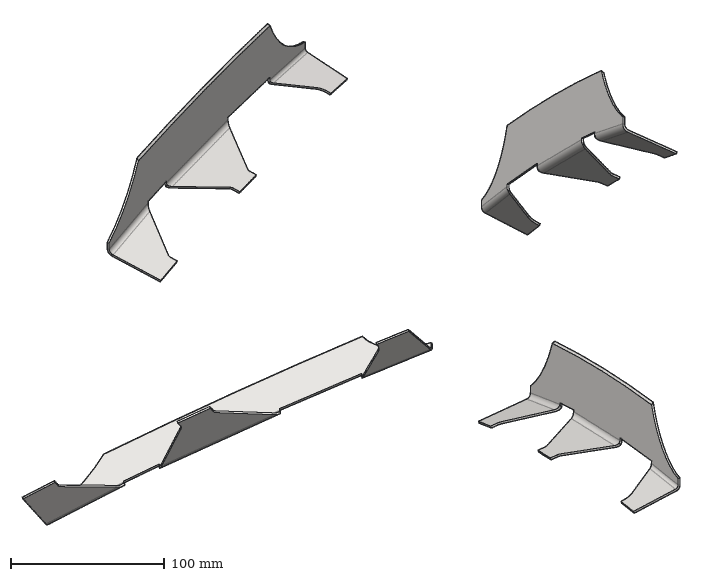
import math

import cadquery as cq

thickness = 1.5

strip_length = 285.91
top_z = 72.72

low_end_top_z = 21.2
high_end_top_z = 35.05
low_shoulder = (43.5, 63.2)
high_shoulder = (234.0, top_z)
low_scallop_middle = (23.3, 37.55)
high_scallop_middle = (251.6, 50.0)
top_edge_middle = (138.0, 70.0)

low_bend = ((0.0, 16.6), (57.4, 24.1))
middle_bend = ((83.7, 26.35), (173.3, 30.65))
high_bend = ((234.2, 31.4), (strip_length, 30.6))

low_relief = 1.0
high_relief = 1.7

foot_width = 24.2
foot_length = 6.2
long_reach = 38.25
short_reach = 32.4
bend_angle = 71.24
high_bend_angle = 67.0
bend_radius = 4.0
high_bend_radius = 3.0
flare_angle = 45.0
foot_fillet = 3.0
high_foot_fillet = 12.0


def raised(point, height):
    return (point[0], point[1] + height)


def make_plate():
    outline = (
        cq.Workplane("YZ")
        .moveTo(0, low_end_top_z)
        .threePointArc(low_scallop_middle, low_shoulder)
        .threePointArc(top_edge_middle, high_shoulder)
        .threePointArc(high_scallop_middle, (strip_length, high_end_top_z))
        .lineTo(*high_bend[1])
        .lineTo(*high_bend[0])
        .lineTo(*raised(high_bend[0], high_relief))
        .lineTo(*raised(middle_bend[1], high_relief))
        .lineTo(*middle_bend[1])
        .lineTo(*middle_bend[0])
        .lineTo(*raised(middle_bend[0], low_relief))
        .lineTo(*raised(low_bend[1], low_relief))
        .lineTo(*low_bend[1])
        .lineTo(*low_bend[0])
        .close()
    )
    return outline.extrude(thickness)


def make_top_bevel():
    """Waste above the top edge, which slopes down at 45 degrees through the sheet."""
    overrun = 2 * thickness
    clear_z = top_z + overrun
    low_y, low_z = low_shoulder
    high_y, high_z = high_shoulder
    waste = (
        cq.Workplane("YZ")
        .moveTo(low_y - overrun, low_z)
        .lineTo(low_y, low_z)
        .threePointArc(top_edge_middle, high_shoulder)
        .lineTo(high_y + overrun, high_z)
        .lineTo(high_y + overrun, clear_z)
        .lineTo(low_y - overrun, clear_z)
        .close()
    )
    slope = cq.Vector(thickness, 0, -thickness)
    return cq.Workplane(cq.Solid.extrudeLinear(waste.val(), [], slope))


def folded_strip(width, reach, angle, inner_radius):
    """Bend and flat of a tab at full width, with the bend line along Y."""
    outer_radius = inner_radius + thickness
    sine = math.sin(angle)
    cosine = math.cos(angle)

    def on_bend(radius, turn):
        return (outer_radius - radius * math.cos(turn), -radius * math.sin(turn))

    inner_end = on_bend(inner_radius, angle)
    inner_tip = (reach, inner_end[1] - (reach - inner_end[0]) * cosine / sine)
    outer_tip = (inner_tip[0] - thickness * cosine, inner_tip[1] - thickness * sine)
    section = (
        cq.Workplane("XZ")
        .moveTo(0, 0)
        .threePointArc(on_bend(outer_radius, angle / 2), on_bend(outer_radius, angle))
        .lineTo(*outer_tip)
        .lineTo(*inner_tip)
        .lineTo(*inner_end)
        .threePointArc(on_bend(inner_radius, angle / 2), (thickness, 0))
        .close()
    )
    return section.extrude(-width)


def tab_outline(width, foot_start, foot_end, reach, angle, inner_radius, fillet):
    """Prism square to the tab flat, with 45 degree flares narrowing to the foot."""
    outer_radius = inner_radius + thickness
    sine = math.sin(angle)
    cosine = math.cos(angle)
    inner_end_x = outer_radius - inner_radius * cosine
    tip = outer_radius * sine + (reach - inner_end_x) / sine
    corner = tip - foot_length
    tangent = fillet * math.tan(math.radians(flare_angle / 2))
    slanted = tangent * math.cos(math.radians(flare_angle))
    behind = -2 * outer_radius
    beyond = tip + thickness

    plane = cq.Plane(origin=(0, 0, 0), xDir=(sine, 0, -cosine), normal=(cosine, 0, sine))
    outline = cq.Workplane(plane).moveTo(behind, 0)
    if foot_start > 0:
        outline = (
            outline.lineTo(corner - foot_start, 0)
            .lineTo(corner - slanted, foot_start - slanted)
            .tangentArcPoint((corner + tangent, foot_start), relative=False)
        )
    outline = outline.lineTo(beyond, foot_start).lineTo(beyond, foot_end)
    if foot_end < width:
        outline = (
            outline.lineTo(corner + tangent, foot_end)
            .tangentArcPoint((corner - slanted, foot_end + slanted), relative=False)
            .lineTo(corner - (width - foot_end), width)
        )
    outline = outline.lineTo(behind, width).close()
    return outline.extrude(2 * long_reach, both=True)


def make_tab(bend, foot_position, reach, angle_degrees, inner_radius, fillet):
    """Tab on one bend line; foot_position 0 to 1 slides the foot along it."""
    (start_y, start_z), (end_y, end_z) = bend
    width = math.hypot(end_y - start_y, end_z - start_z)
    tilt = math.degrees(math.atan2(end_z - start_z, end_y - start_y))
    angle = math.radians(angle_degrees)
    foot_start = foot_position * (width - foot_width)
    foot_end = foot_start + foot_width

    strip = folded_strip(width, reach, angle, inner_radius)
    tab = strip.intersect(tab_outline(width, foot_start, foot_end, reach, angle, inner_radius, fillet))
    return tab.rotate((0, 0, 0), (1, 0, 0), tilt).translate((0, start_y, start_z))


low_tab = make_tab(low_bend, 0.0, long_reach, bend_angle, bend_radius, foot_fillet)
middle_tab = make_tab(middle_bend, 0.5, long_reach, bend_angle, bend_radius, foot_fillet)
high_tab = make_tab(high_bend, 1.0, short_reach, high_bend_angle, high_bend_radius, high_foot_fillet)

result = make_plate().cut(make_top_bevel()).union(low_tab).union(middle_tab).union(high_tab)